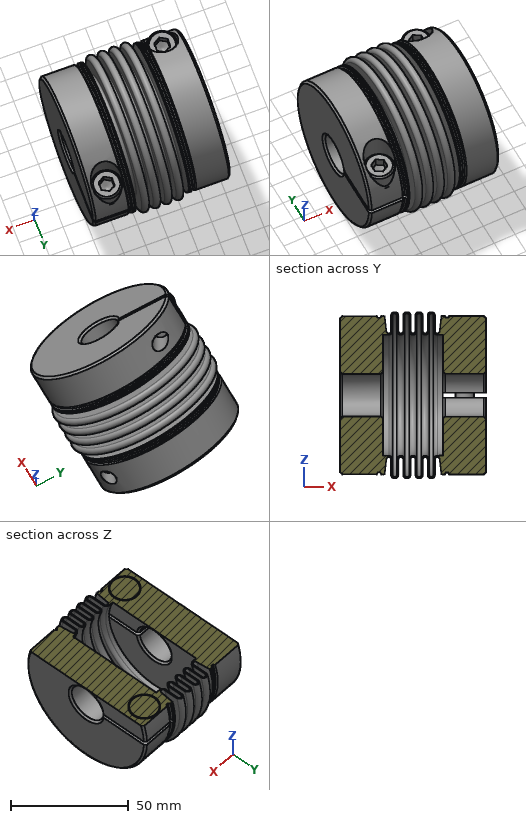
import cadquery as cq
import math


total_length = 62.1
hub_diameter = 67.5
hub_length = 18.4
chamfer = 1.0
bore_diameter = 17.95
slot_width = 2.0

groove_start = 15.7
groove_width = 1.85
groove_depth = 0.8
groove_side = 0.5

bellows_diameter = 71.0
crest_count = 4
pitch = 5.2
crest_radius = 1.7
root_diameter = 52.8
wall = 0.8
collar_diameter = 67.4
collar_rim = 0.7

screw_from_face = 9.1
screw_offset = 25.0
seat_height = 10.0
pocket_diameter = 13.5
clearance_diameter = 8.6
tapped_diameter = 6.8
head_diameter = 13.0
head_height = 8.0
head_chamfer = 0.8
shank_diameter = 8.0
shank_length = 20.0
hex_across_flats = 6.0
hex_depth = 4.0
socket_point_angle = 120.0

hub_radius = hub_diameter / 2
face_x = -total_length / 2
hub_end_x = face_x + hub_length
screw_x = face_x + screw_from_face
root_arc_radius = pitch / 2 - crest_radius
crest_center_r = bellows_diameter / 2 - crest_radius
root_center_r = root_diameter / 2 + root_arc_radius
end_root_x = -crest_count * pitch / 2


def revolve_about_x(profile):
    """Revolve a profile drawn as (x, radius) about the coupling axis."""
    return profile.close().revolve(360, (0, 0, 0), (1, 0, 0))


def vertical_cylinder(diameter, bottom, top):
    """Cylinder on the screw axis between two heights."""
    plane = cq.Workplane("XY", origin=(screw_x, -screw_offset, bottom))
    return plane.circle(diameter / 2).extrude(top - bottom)


def bellows_wave(profile, crest_arc, root_arc):
    """Continue a profile through every crest, from the first root to the last one."""
    for i in range(crest_count):
        crest_x = end_root_x + (i + 0.5) * pitch
        profile = (
            profile
            .lineTo(crest_x - crest_arc, crest_center_r)
            .threePointArc((crest_x, crest_center_r + crest_arc), (crest_x + crest_arc, crest_center_r))
        )
        if i < crest_count - 1:
            root_x = crest_x + pitch / 2
            profile = (
                profile
                .lineTo(root_x - root_arc, root_center_r)
                .threePointArc((root_x, root_center_r - root_arc), (root_x + root_arc, root_center_r))
            )
    return profile


def make_bellows():
    """Bellows with a conical collar at each end, hollow between the hub faces."""
    collar_r = collar_diameter / 2
    bottom_r = root_center_r - root_arc_radius
    outer = (
        cq.Workplane("XY")
        .moveTo(hub_end_x, 0)
        .lineTo(hub_end_x, collar_r)
        .lineTo(hub_end_x + collar_rim, collar_r)
        .lineTo(end_root_x - root_arc_radius, root_center_r)
        .threePointArc((end_root_x, bottom_r), (end_root_x + root_arc_radius, root_center_r))
    )
    outer = (
        bellows_wave(outer, crest_radius, root_arc_radius)
        .lineTo(-end_root_x - root_arc_radius, root_center_r)
        .threePointArc((-end_root_x, bottom_r), (-end_root_x + root_arc_radius, root_center_r))
        .lineTo(-hub_end_x - collar_rim, collar_r)
        .lineTo(-hub_end_x, collar_r)
        .lineTo(-hub_end_x, 0)
    )

    inner_root_arc = root_arc_radius + wall
    inner_r = root_center_r - inner_root_arc
    quarter = inner_root_arc * math.sqrt(0.5)
    cavity = (
        cq.Workplane("XY")
        .moveTo(hub_end_x, 0)
        .lineTo(hub_end_x, inner_r)
        .lineTo(end_root_x, inner_r)
        .threePointArc((end_root_x + quarter, root_center_r - quarter),
                       (end_root_x + inner_root_arc, root_center_r))
    )
    cavity = (
        bellows_wave(cavity, crest_radius - wall, inner_root_arc)
        .lineTo(-end_root_x - inner_root_arc, root_center_r)
        .threePointArc((-end_root_x - quarter, root_center_r - quarter), (-end_root_x, inner_r))
        .lineTo(-hub_end_x, inner_r)
        .lineTo(-hub_end_x, 0)
    )
    return revolve_about_x(outer).cut(revolve_about_x(cavity))


def make_hub_body():
    """Turned hub: chamfered bore, chamfered outer face and relief groove."""
    bore_r = bore_diameter / 2
    groove_x = face_x + groove_start
    groove_end_x = groove_x + groove_width
    floor_r = hub_radius - groove_depth
    profile = cq.Workplane("XY").polyline([
        (face_x, bore_r + chamfer),
        (face_x, hub_radius - chamfer),
        (face_x + chamfer, hub_radius),
        (groove_x, hub_radius),
        (groove_x + groove_side, floor_r),
        (groove_end_x - groove_side, floor_r),
        (groove_end_x, hub_radius),
        (hub_end_x, hub_radius),
        (hub_end_x, bore_r + chamfer),
        (hub_end_x - chamfer, bore_r),
        (face_x + chamfer, bore_r),
    ])
    return revolve_about_x(profile).rotate((0, 0, 0), (1, 0, 0), 180)


def make_screw():
    """Socket head cap screw seated on the pocket floor."""
    head_top = seat_height + head_height
    head = vertical_cylinder(head_diameter, seat_height, head_top).faces(">Z").chamfer(head_chamfer)
    shank = vertical_cylinder(shank_diameter, seat_height - shank_length, seat_height)

    corner_r = hex_across_flats / math.sqrt(3)
    point_depth = corner_r / math.tan(math.radians(socket_point_angle / 2))
    socket_hex = (
        cq.Workplane("XY", origin=(screw_x, -screw_offset, head_top))
        .transformed(rotate=(0, 0, 90))
        .polygon(6, 2 * corner_r)
        .extrude(-hex_depth - point_depth)
    )
    socket_drill = (
        cq.Workplane("XZ", origin=(screw_x, -screw_offset, head_top))
        .polyline([(0, 0), (corner_r, 0), (corner_r, -hex_depth), (0, -hex_depth - point_depth)])
        .close()
        .revolve(360, (0, 0, 0), (0, 1, 0))
    )
    return head.union(shank).cut(socket_hex.intersect(socket_drill))


def make_clamping_hub():
    """Hub with its clamping slot toward -Y, screw holes and the screw."""
    slot = cq.Workplane("XY").box(hub_length, hub_radius, slot_width, centered=(False, False, True))
    slot = slot.translate((face_x, -hub_radius, 0))
    pocket = vertical_cylinder(pocket_diameter, seat_height, hub_radius)
    clearance = vertical_cylinder(clearance_diameter, 0, seat_height)
    tapped = vertical_cylinder(tapped_diameter, -hub_radius, 0)
    hub = make_hub_body()
    for tool in (slot, pocket, clearance, tapped):
        hub = hub.cut(tool)
    return hub.union(make_screw())


hub = make_clamping_hub()
opposite_hub = hub.rotate((0, 0, 0), (0, 0, 1), 180)
result = make_bellows().union(hub).union(opposite_hub)